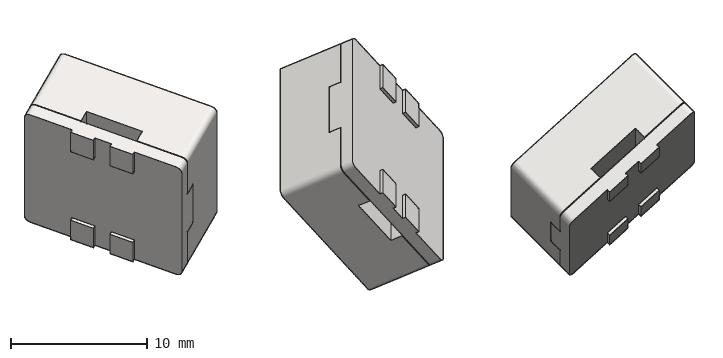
import cadquery as cq

side = 12.7
total_depth = 6.5
corner_radius = 0.5

pad_thickness = 0.25
plate_thickness = 0.99
rib_height = 0.97
rib_width = 4.5
pad_width = 1.85
pad_height = 2.3
pad_gap = 1.32

cover_gap = 0.05

pad_front = -total_depth / 2
plate_front = pad_front + pad_thickness
seam = plate_front + plate_thickness
cover_front = seam + cover_gap
back = total_depth / 2


def box_from(y_start, x_size, y_size, z_size, x=0.0, z=0.0):
    """Box centred at (x, z) that extends from y_start toward +Y."""
    return cq.Workplane("XY").box(x_size, y_size, z_size).translate((x, y_start + y_size / 2, z))


def rounded_block(y_start, thickness):
    """Full-size square block with its four Y edges rounded."""
    return box_from(y_start, side, thickness, side).edges("|Y").fillet(corner_radius)


def cross_rib(y_start):
    """Full-width bar along X, used for the rib and for the channel that receives it."""
    return box_from(y_start, side, rib_height, rib_width)


def make_base():
    """Plate with the rib on its back and two pairs of pads on its front."""
    base = rounded_block(plate_front, plate_thickness).union(cross_rib(seam))
    pad_x = (pad_gap + pad_width) / 2
    pad_z = (side - pad_height) / 2
    for x in (-pad_x, pad_x):
        for z in (-pad_z, pad_z):
            base = base.union(box_from(pad_front, pad_width, pad_thickness, pad_height, x, z))
    return base


def make_cover():
    """Thick block with a channel for the rib and an open channel along Z."""
    cover = rounded_block(cover_front, back - cover_front)
    rib_channel = cross_rib(cover_front)
    open_channel = box_from(cover_front, rib_width, rib_height, side)
    return cover.cut(rib_channel).cut(open_channel)


base = make_base()
cover = make_cover()

result = cq.Compound.makeCompound([base.val(), cover.val()])